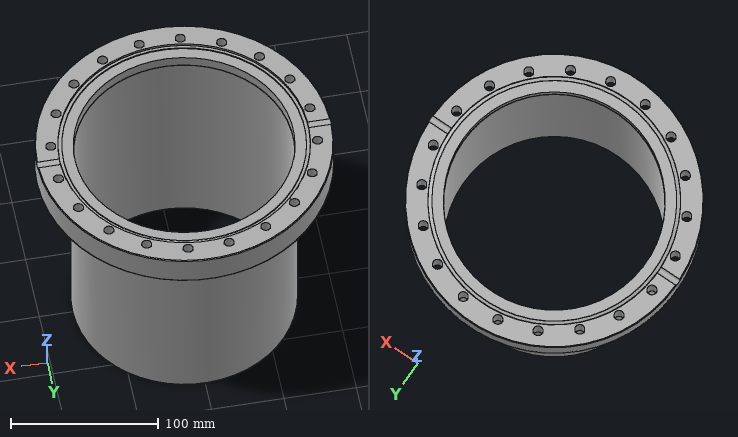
import cadquery as cq

total_height = 167.0
flange_diameter = 203.0
flange_thickness = 22.0
edge_chamfer = 0.6

tube_outer_diameter = 154.0
tube_inner_diameter = 150.0
tube_top_depth = 10.0

opening_diameter = 150.5
socket_diameter = 154.5

recess_diameter = 171.3
knife_diameter = 166.0
recess_depth = 1.8
knife_tip_depth = 1.0
inner_face_depth = 1.8

bolt_count = 20
bolt_circle_diameter = 181.0
bolt_hole_diameter = 6.7

groove_width = 4.9
groove_depth = 1.2

flange_top = total_height
flange_bottom = flange_top - flange_thickness
tube_top = flange_top - tube_top_depth


def make_flange_ring():
    """Revolve the flange section, given as (radius, height) points."""
    outer_radius = flange_diameter / 2
    socket_radius = socket_diameter / 2
    opening_radius = opening_diameter / 2
    recess_radius = recess_diameter / 2
    knife_radius = knife_diameter / 2
    inner_face = flange_top - inner_face_depth
    section = [
        (socket_radius, flange_bottom),
        (outer_radius - edge_chamfer, flange_bottom),
        (outer_radius, flange_bottom + edge_chamfer),
        (outer_radius, flange_top - edge_chamfer),
        (outer_radius - edge_chamfer, flange_top),
        (recess_radius, flange_top),
        (recess_radius, flange_top - recess_depth),
        (knife_radius, flange_top - knife_tip_depth),
        (knife_radius, inner_face),
        (opening_radius, inner_face),
        (opening_radius, tube_top),
        (socket_radius, tube_top),
    ]
    return cq.Workplane("XZ").polyline(section).close().revolve(360, (0, 0, 0), (0, 1, 0))


def make_bolt_holes():
    """Through holes, placed so that the X axis falls midway between two of them."""
    half_pitch_angle = 180 / bolt_count
    return (
        cq.Workplane("XY", origin=(0, 0, flange_bottom))
        .polarArray(bolt_circle_diameter / 2, half_pitch_angle, 360, bolt_count)
        .circle(bolt_hole_diameter / 2)
        .extrude(flange_thickness)
    )


def make_leak_grooves():
    """One cylinder along X cuts both grooves, from the recess to the rim."""
    groove_radius = ((groove_width / 2) ** 2 + groove_depth**2) / (2 * groove_depth)
    axis_height = flange_top - groove_depth + groove_radius
    cutter = (
        cq.Workplane("YZ", origin=(-flange_diameter / 2, 0, axis_height))
        .circle(groove_radius)
        .extrude(flange_diameter)
    )
    recess_area = (
        cq.Workplane("XY", origin=(0, 0, flange_bottom))
        .circle(recess_diameter / 2)
        .extrude(2 * flange_thickness)
    )
    return cutter.cut(recess_area)


def make_flange():
    return make_flange_ring().cut(make_bolt_holes()).cut(make_leak_grooves())


def make_tube():
    return (
        cq.Workplane("XY")
        .circle(tube_outer_diameter / 2)
        .circle(tube_inner_diameter / 2)
        .extrude(tube_top)
    )


flange = make_flange()
tube = make_tube()

result = cq.Compound.makeCompound([flange.val(), tube.val()])